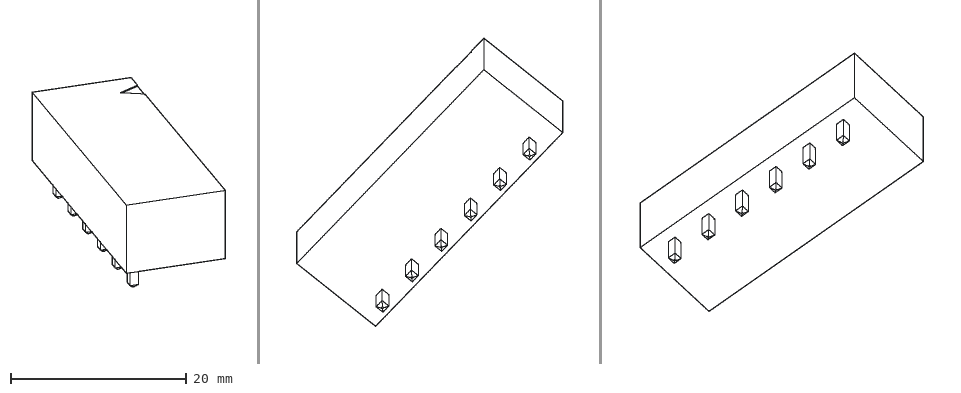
import cadquery as cq

housing_length = 32.4
housing_width = 12.0
housing_height = 8.6

mark_width = 2.53
mark_length = 2.53
mark_depth = 0.13

pin_count = 6
pin_pitch = 5.1
pin_side = 1.05
pin_length = 3.5
tip_chamfer = 0.42
pin_row_inset = 2.0

first_pin_x = -pin_pitch * (pin_count - 1) / 2
pin_row_y = -housing_width / 2 + pin_row_inset


def make_housing():
    """Block with the mark recessed above the first pin."""
    block = cq.Workplane("XY").box(
        housing_length, housing_width, housing_height, centered=(True, True, False)
    )
    back_y = housing_width / 2
    mark = (
        cq.Workplane("XY", origin=(first_pin_x, back_y, housing_height))
        .moveTo(-mark_width / 2, 0)
        .lineTo(mark_width / 2, 0)
        .lineTo(0, -mark_length)
        .close()
        .extrude(-mark_depth)
    )
    return block.cut(mark)


def make_pin(x):
    """Square pin hanging from the underside of the housing, with a chamfered tip."""
    return (
        cq.Workplane("XY", origin=(x, pin_row_y, 0))
        .rect(pin_side, pin_side)
        .extrude(-pin_length)
        .faces("<Z")
        .edges()
        .chamfer(tip_chamfer)
    )


housing = make_housing()
pins = [make_pin(first_pin_x + i * pin_pitch) for i in range(pin_count)]

result = cq.Compound.makeCompound([housing.val(), *[pin.val() for pin in pins]])